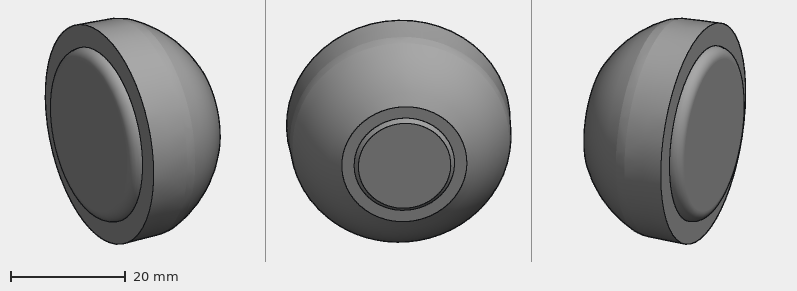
import cadquery as cq
import math


base_radius = 19.5
skirt_draft = 2.0
body_height = 18.0
crown_sphere_radius = 20.5
crown_flat_radius = 10.9
shoulder_fillet = 5.0

disc_height = 0.7
disc_base_radius = 8.75

pad_radius = 15.5
pad_height = 2.0

sphere_center = body_height - math.sqrt(crown_sphere_radius**2 - crown_flat_radius**2)


def crown_radius_at(height):
    """Radius of the crown at a height above the base face."""
    return math.sqrt(crown_sphere_radius**2 - (height - sphere_center) ** 2)


def shoulder_height():
    """Height where the straight skirt line meets the crown sphere."""
    taper = math.tan(math.radians(skirt_draft))
    a = 1 + taper**2
    b = -2 * (taper * base_radius + sphere_center)
    c = base_radius**2 + sphere_center**2 - crown_sphere_radius**2
    return (-b + math.sqrt(b**2 - 4 * a * c)) / (2 * a)


def turn_about_y(half_outline):
    """Full revolve of a YZ outline about the Y axis."""
    return half_outline.revolve(360, (0, 0, 0), (1, 0, 0))


def make_body():
    """Skirt and crown revolved about Y, blended at the shoulder."""
    shoulder = shoulder_height()
    shoulder_radius = crown_radius_at(shoulder)
    arc_middle = (shoulder + body_height) / 2
    half_outline = (
        cq.Workplane("YZ")
        .lineTo(0, base_radius)
        .lineTo(shoulder, shoulder_radius)
        .threePointArc((arc_middle, crown_radius_at(arc_middle)), (body_height, crown_flat_radius))
        .lineTo(body_height, 0)
        .close()
    )
    body = turn_about_y(half_outline)
    shoulder_edge = cq.selectors.NearestToPointSelector((0, shoulder, 0))
    return body.edges(shoulder_edge).fillet(shoulder_fillet)


def make_disc():
    """Low disc on the crown flat."""
    disc_top_radius = disc_base_radius - disc_height
    disc_top = body_height + disc_height
    half_outline = (
        cq.Workplane("YZ")
        .moveTo(body_height, 0)
        .lineTo(body_height, disc_base_radius)
        .lineTo(disc_top, disc_top_radius)
        .lineTo(disc_top, 0)
        .close()
    )
    return turn_about_y(half_outline)


def make_pad():
    """Pad whose rim is a full quarter round, as deep as the pad is high."""
    flat_radius = pad_radius - pad_height
    quarter = pad_height * math.sqrt(0.5)
    half_outline = (
        cq.Workplane("YZ")
        .lineTo(0, pad_radius)
        .threePointArc((-quarter, flat_radius + quarter), (-pad_height, flat_radius))
        .lineTo(-pad_height, 0)
        .close()
    )
    return turn_about_y(half_outline)


result = make_body().union(make_disc()).union(make_pad())